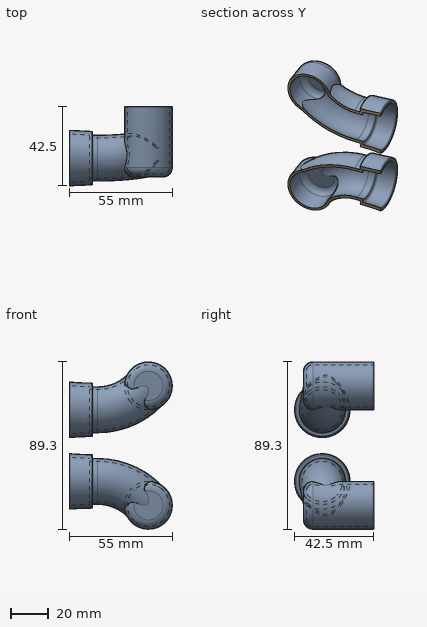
import cadquery as cq
import math

overall_x = 55.0
overall_y = 42.5
overall_z = 89.25

wall = 1.5
pipe_radius = 24.5 / 2
pipe_bore_radius = pipe_radius - wall
inlet_height = 19.1
socket_length = 12.3
socket_rim_radius = 29.7 / 2
socket_back_radius = 14.3
socket_mouth_radius = 12.85
socket_floor_radius = 12.3
socket_depth = socket_length - wall
bend_start = 15.1
edge_round = 0.45

barrel_radius = 25.5 / 2
barrel_bore_radius = barrel_radius - wall
barrel_x = overall_x - barrel_radius
barrel_z = overall_z / 2 - barrel_radius
barrel_length = 37.7
barrel_open_y = overall_y - socket_rim_radius
barrel_closed_y = barrel_open_y - barrel_length
barrel_round = 5.0
barrel_edge_round = 0.5

bend_tilt = 11.0
bend_run = barrel_x - bend_start
bend_rise = (barrel_z - inlet_height) / math.cos(math.radians(bend_tilt))
bend_radius = (bend_run**2 + bend_rise**2) / (2 * bend_rise)
bend_angle = math.degrees(math.asin(bend_run / bend_radius))


def turned(profile):
    """Revolve (x, radius) points about the X axis."""
    return cq.Workplane("XY").polyline(profile).close().revolve(360, (0, 0), (1, 0))


def round_steps(inlet, x_min, x_max):
    """Round the circular edges of a turned inlet whose centres lie between two X values."""
    reach = socket_rim_radius
    stretch = cq.selectors.BoxSelector((x_min, -reach, -reach), (x_max, reach, reach))
    return inlet.edges("%CIRCLE").edges(stretch).fillet(edge_round)


def bent_pipe(radius):
    """Solid round bar along the bend, starting at the end of the neck."""
    bar = (
        cq.Workplane("YZ", origin=(bend_start, 0, 0))
        .circle(radius)
        .revolve(bend_angle, (0.9, bend_radius), (-0.9, bend_radius))
    )
    return bar.rotate((0, 0, 0), (1, 0, 0), -bend_tilt)


def barrel_bar(radius, closed_y, end_round):
    """Solid bar along Y with its closed end rounded."""
    return (
        cq.Workplane("XZ", origin=(barrel_x, closed_y, barrel_z - inlet_height))
        .circle(radius)
        .extrude(closed_y - barrel_open_y)
        .faces("<Y").edges().fillet(end_round)
    )


def inlet_outside():
    """Tapered socket and straight neck, with small rounds at every step."""
    inlet = turned([
        (0, 0),
        (0, socket_rim_radius),
        (socket_length, socket_back_radius),
        (socket_length, pipe_radius),
        (bend_start, pipe_radius),
        (bend_start, 0),
    ])
    return round_steps(inlet, -edge_round, socket_length + edge_round)


def inlet_cavity():
    """Tapered socket bore that steps down to the pipe bore."""
    cavity = turned([
        (0, 0),
        (0, socket_mouth_radius),
        (socket_depth, socket_floor_radius),
        (socket_depth, pipe_bore_radius),
        (bend_start, pipe_bore_radius),
        (bend_start, 0),
    ])
    return round_steps(cavity, edge_round, socket_depth + edge_round)


def make_elbow():
    """Upper elbow: hollow inlet, bend and barrel in one piece."""
    barrel = barrel_bar(barrel_radius, barrel_closed_y, barrel_round)
    barrel = barrel.faces(">Y").edges().fillet(barrel_edge_round)
    outside = inlet_outside().union(bent_pipe(pipe_radius)).union(barrel)
    cavity = (
        inlet_cavity()
        .union(bent_pipe(pipe_bore_radius))
        .union(barrel_bar(barrel_bore_radius, barrel_closed_y + wall, barrel_round - wall))
    )
    elbow = outside.cut(cavity)
    mouth_edge = cq.selectors.RadiusNthSelector(0)
    elbow = elbow.faces("<X").edges(mouth_edge).fillet(edge_round)
    return elbow.translate((0, 0, inlet_height))


upper_elbow = make_elbow()
lower_elbow = upper_elbow.mirror("XY")

result = cq.Compound.makeCompound([upper_elbow.val(), lower_elbow.val()])